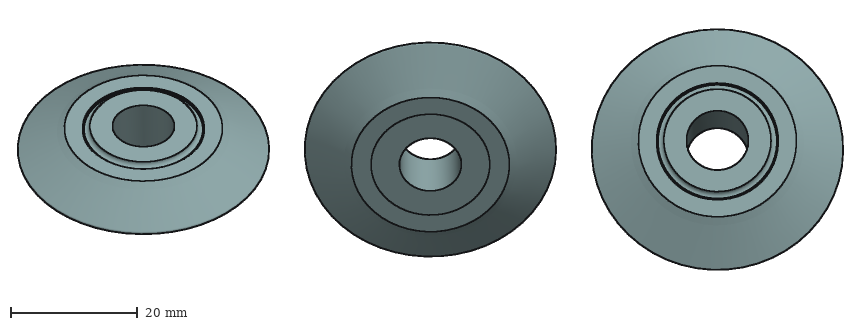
import cadquery as cq
import math

WHEEL_RADIUS = 19.85
WHEEL_HEIGHT = 9.0
FACE_RADIUS = 12.45
SHOULDER_RADIUS = 13.65
FLANK_ANGLE = math.radians(30)
SEAT_RADIUS = 9.35
RECESS_RADIUS = 9.6
RIM_ARC_RADIUS = 0.3

BUSHING_HEIGHT = 9.5
BORE_RADIUS = 4.9
BOSS_RADIUS = 8.45
BOSS_ROOT_RADIUS = 0.7

LEDGE_HEIGHT = BUSHING_HEIGHT - BOSS_ROOT_RADIUS
MID_HEIGHT = WHEEL_HEIGHT / 2
RIM_TANGENT_RADIUS = WHEEL_RADIUS - RIM_ARC_RADIUS * (1 - math.sin(FLANK_ANGLE))
RIM_TANGENT_OFFSET = RIM_ARC_RADIUS * math.cos(FLANK_ANGLE)
SHOULDER_OFFSET = (
    RIM_TANGENT_OFFSET + (RIM_TANGENT_RADIUS - SHOULDER_RADIUS) * math.tan(FLANK_ANGLE)
)


def revolve_about_z(profile):
    """Revolve a closed radius-height profile around the Z axis."""
    return profile.close().revolve(360, (0, 0, 0), (0, 1, 0))


def make_wheel():
    profile = (
        cq.Workplane("XZ")
        .moveTo(SEAT_RADIUS, 0)
        .lineTo(FACE_RADIUS, 0)
        .lineTo(SHOULDER_RADIUS, MID_HEIGHT - SHOULDER_OFFSET)
        .lineTo(RIM_TANGENT_RADIUS, MID_HEIGHT - RIM_TANGENT_OFFSET)
        .threePointArc(
            (WHEEL_RADIUS, MID_HEIGHT),
            (RIM_TANGENT_RADIUS, MID_HEIGHT + RIM_TANGENT_OFFSET),
        )
        .lineTo(SHOULDER_RADIUS, MID_HEIGHT + SHOULDER_OFFSET)
        .lineTo(FACE_RADIUS, WHEEL_HEIGHT)
        .lineTo(RECESS_RADIUS, WHEEL_HEIGHT)
        .lineTo(RECESS_RADIUS, LEDGE_HEIGHT)
        .lineTo(SEAT_RADIUS, LEDGE_HEIGHT)
    )
    return revolve_about_z(profile)


def make_bushing():
    profile = (
        cq.Workplane("XZ")
        .moveTo(BORE_RADIUS, 0)
        .lineTo(SEAT_RADIUS, 0)
        .lineTo(SEAT_RADIUS, LEDGE_HEIGHT)
        .lineTo(BOSS_RADIUS + BOSS_ROOT_RADIUS, LEDGE_HEIGHT)
        .radiusArc((BOSS_RADIUS, BUSHING_HEIGHT), BOSS_ROOT_RADIUS)
        .lineTo(BORE_RADIUS, BUSHING_HEIGHT)
    )
    return revolve_about_z(profile)


wheel = make_wheel()
bushing = make_bushing()

result = cq.Compound.makeCompound([wheel.val(), bushing.val()])